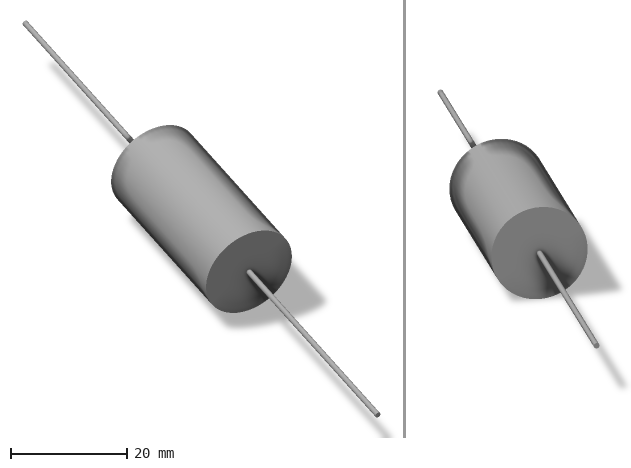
import cadquery as cq

lead_length = 123.0
lead_diameter = 1.0
can_length = 33.1
can_diameter = 17.0


def rod_along_x(diameter, length):
    """Solid cylinder on the X axis, centred on the origin."""
    return cq.Workplane("YZ", origin=(-length / 2, 0, 0)).circle(diameter / 2).extrude(length)


def make_lead():
    """Straight axial wire that runs right through the can."""
    return rod_along_x(lead_diameter, lead_length)


def make_can():
    """Cylindrical capacitor body with a through bore that fits the lead."""
    bore = rod_along_x(lead_diameter, can_length)
    return rod_along_x(can_diameter, can_length).cut(bore)


can = make_can()
lead = make_lead()

result = cq.Compound.makeCompound([can.val(), lead.val()])